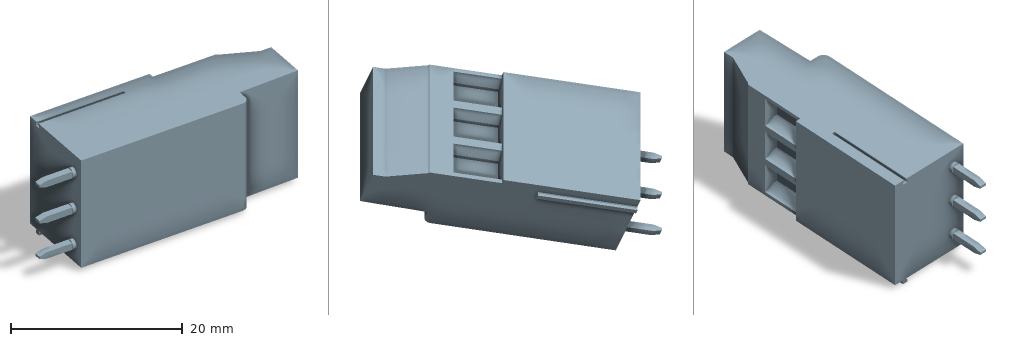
import cadquery as cq
import math


total_length = 36.5
pin_length = 5.0
housing_length = total_length - pin_length
housing_width = 11.1
housing_height = 15.0

pole_count = 3
pole_pitch = housing_height / pole_count
pole_heights = [(index + 0.5) * pole_pitch for index in range(pole_count)]

flank_step = 0.7
flank_step_y = 16.55
ledge_start_y = 25.22
ledge_end_x = 0.88
ledge_end_y = 25.4
nose_left_x = 2.9
nose_left_y = 30.0
nose_right_x = 8.7
shoulder_x = 8.9
shoulder_y = 23.3
shoulder_radius = 1.0

pocket_end_y = 22.37
pocket_mouth_height = 4.0
pocket_depth = 1.9
lip_radius = 1.0
slope_angle = math.radians(30)
slope_end_depth = 1.35

rail_x = 1.65
rail_length = 12.0
rail_projection = 0.6
rail_neck_width = 0.45
rail_head_width = 0.7
rail_neck_length = 0.1
rail_shoulder_length = 0.15

pin_x = 9.45
pin_thickness = 0.9
pin_tip_height = 0.33
pin_taper_length = 1.02
collar_diameter = 1.3
collar_length = 0.47


def make_housing():
    """Stepped outline seen along Z, extruded over the whole row of poles."""
    return (
        cq.Workplane("XY")
        .moveTo(0, 0)
        .lineTo(housing_width, 0)
        .lineTo(housing_width, shoulder_y - shoulder_radius)
        .radiusArc((housing_width - shoulder_radius, shoulder_y), -shoulder_radius)
        .lineTo(shoulder_x, shoulder_y)
        .lineTo(nose_right_x, housing_length)
        .lineTo(nose_left_x, housing_length)
        .lineTo(nose_left_x, nose_left_y)
        .lineTo(ledge_end_x, ledge_end_y)
        .lineTo(flank_step, ledge_start_y)
        .lineTo(flank_step, flank_step_y)
        .lineTo(0, flank_step_y)
        .close()
        .extrude(housing_height)
    )


def make_pocket(center_z):
    """Pocket in the recessed flank, symmetric about the pole's height."""
    mouth_half = pocket_mouth_height / 2
    lip_depth = lip_radius * math.sin(slope_angle)
    lip_half = mouth_half - lip_radius * (1 - math.cos(slope_angle))
    back_half = lip_half - (slope_end_depth - lip_depth) * math.tan(slope_angle)
    return (
        cq.Workplane("XZ", origin=(flank_step, pocket_end_y, center_z))
        .moveTo(0, -mouth_half)
        .radiusArc((lip_depth, -lip_half), -lip_radius)
        .lineTo(slope_end_depth, -back_half)
        .lineTo(pocket_depth, -back_half)
        .lineTo(pocket_depth, back_half)
        .lineTo(slope_end_depth, back_half)
        .lineTo(lip_depth, lip_half)
        .radiusArc((0, mouth_half), -lip_radius)
        .close()
        .extrude(pocket_end_y - flank_step_y)
    )


def make_rail(root_z):
    """Rail hanging below root_z along the base end: narrow neck, sloped shoulders, wider head."""
    neck_half = rail_neck_width / 2
    head_half = rail_head_width / 2
    right_half = [
        (neck_half, 0),
        (neck_half, -rail_neck_length),
        (head_half, -rail_neck_length - rail_shoulder_length),
        (head_half, -rail_projection),
    ]
    left_half = [(-x, z) for x, z in reversed(right_half)]
    return (
        cq.Workplane("XZ", origin=(rail_x, 0, root_z))
        .polyline(right_half + left_half)
        .close()
        .extrude(-rail_length)
    )


def make_pin(center_z):
    """Square pin with a round collar at the base and a tip tapered in height."""
    half = pin_thickness / 2
    tip_half = pin_tip_height / 2
    taper_y = pin_taper_length - pin_length
    collar = (
        cq.Workplane("XZ", origin=(pin_x, 0, center_z))
        .circle(collar_diameter / 2)
        .extrude(collar_length)
    )
    blade = (
        cq.Workplane("YZ", origin=(pin_x, 0, center_z))
        .polyline(
            [
                (0, -half),
                (0, half),
                (taper_y, half),
                (-pin_length, tip_half),
                (-pin_length, -tip_half),
                (taper_y, -half),
            ]
        )
        .close()
        .extrude(half, both=True)
    )
    return collar.union(blade)


result = make_housing().cut(make_rail(housing_height)).union(make_rail(0))
for pole_z in pole_heights:
    result = result.cut(make_pocket(pole_z)).union(make_pin(pole_z))